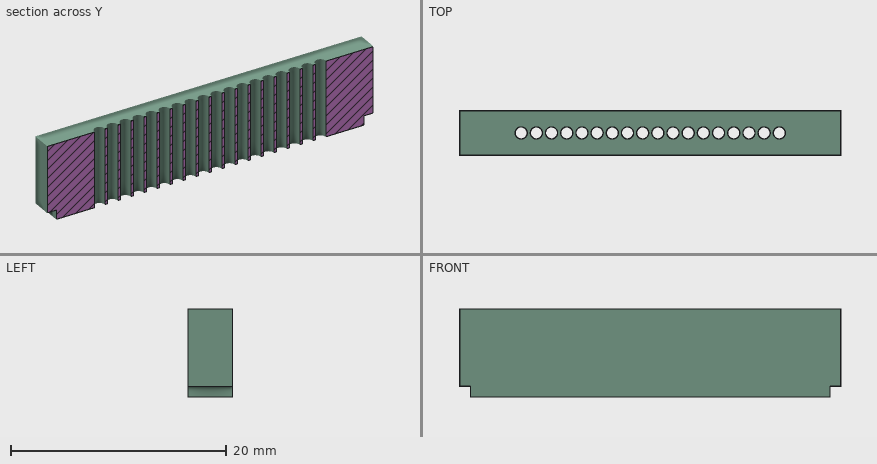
import cadquery as cq

length = 35.4
width = 4.15
height = 8.2

step_length = 1.0
step_height = 1.0

hole_count = 18
hole_pitch = 1.41
hole_diameter = 1.1


def make_block():
    """Rectangular block centred in X and Y, standing on Z = 0."""
    return cq.Workplane("XY").box(length, width, height, centered=(True, True, False))


def cut_end_steps(body):
    """Remove a square step across the full width at both bottom ends."""
    for side in (-1, 1):
        step_center_x = side * (length - step_length) / 2
        step = (
            cq.Workplane("XY")
            .center(step_center_x, 0)
            .box(step_length, width, step_height, centered=(True, True, False))
        )
        body = body.cut(step)
    return body


def cut_hole_row(body):
    """Drill the evenly spaced row of vertical holes through the block."""
    holes = (
        cq.Workplane("XY")
        .rarray(hole_pitch, width, hole_count, 1)
        .circle(hole_diameter / 2)
        .extrude(height)
    )
    return body.cut(holes)


result = cut_hole_row(cut_end_steps(make_block()))